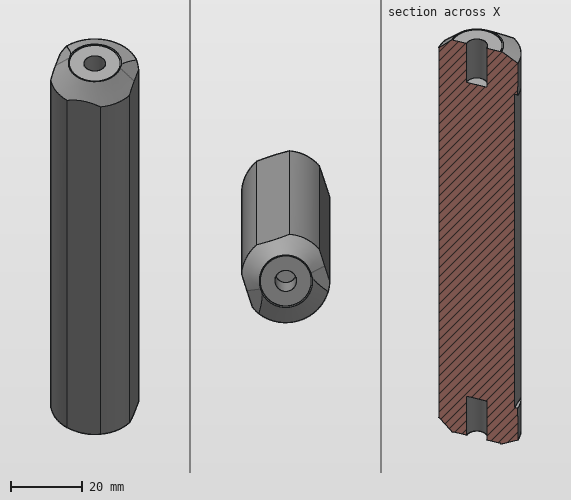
import cadquery as cq
import math

length = 140.0
body_radius = 12.5
flat_distance = 11.5
pad_length = 14.3
bevel_inner_half_width = 7.4
crown_inner_radius = 7.5
crown_angle = 30.0
hole_diameter = 6.0
hole_depth = 14.0
recess_radius = 7.1
recess_depth = 0.1

bevel_height = body_radius - bevel_inner_half_width
crown_height = (body_radius - crown_inner_radius) * math.tan(math.radians(crown_angle))
stock_size = 2 * body_radius


def bar_with_flats():
    """Round bar with full-length flats on -X, +X and -Y and a relieved flat on +Y."""
    bar = cq.Workplane("XY").circle(body_radius).extrude(length)
    flat_envelope = (
        cq.Workplane("XY")
        .center(0, body_radius - flat_distance)
        .rect(2 * flat_distance, stock_size)
        .extrude(length)
    )
    relief = (
        cq.Workplane("XY", origin=(0, flat_distance, pad_length))
        .rect(stock_size, stock_size)
        .extrude(length - 2 * pad_length)
        .translate((0, stock_size / 2, 0))
    )
    return bar.intersect(flat_envelope).cut(relief)


def crown_envelope():
    """Bar whose ends slope gently, coaxial with the round body."""
    profile = [
        (0, 0),
        (crown_inner_radius, 0),
        (body_radius, crown_height),
        (body_radius, length - crown_height),
        (crown_inner_radius, length),
        (0, length),
    ]
    return cq.Workplane("XZ").polyline(profile).close().revolve(360, (0, 0, 0), (0, 1, 0))


def bevel_envelope():
    """45 degree end bevels: conical around -Y, continuing as flat slopes toward +Y."""
    half_profile = [
        (0, 0),
        (bevel_inner_half_width, 0),
        (body_radius, bevel_height),
        (body_radius, length - bevel_height),
        (bevel_inner_half_width, length),
        (0, length),
    ]
    mirrored_profile = [(-x, z) for x, z in reversed(half_profile[1:-1])]
    full_profile = half_profile[1:-1] + mirrored_profile
    cone = cq.Workplane("XZ").polyline(half_profile).close().revolve(360, (0, 0, 0), (0, 1, 0))
    straight = cq.Workplane("XZ").polyline(full_profile).close().extrude(-stock_size)
    return cone.union(straight)


def end_cuts():
    """Axial blind hole and shallow round recess, repeated in both end faces."""
    hole = cq.Workplane("XY").circle(hole_diameter / 2).extrude(hole_depth)
    recess = cq.Workplane("XY").circle(recess_radius).extrude(recess_depth)
    bottom = hole.union(recess)
    top = bottom.mirror("XY").translate((0, 0, length))
    return bottom.union(top)


result = bar_with_flats().intersect(crown_envelope()).intersect(bevel_envelope()).cut(end_cuts())